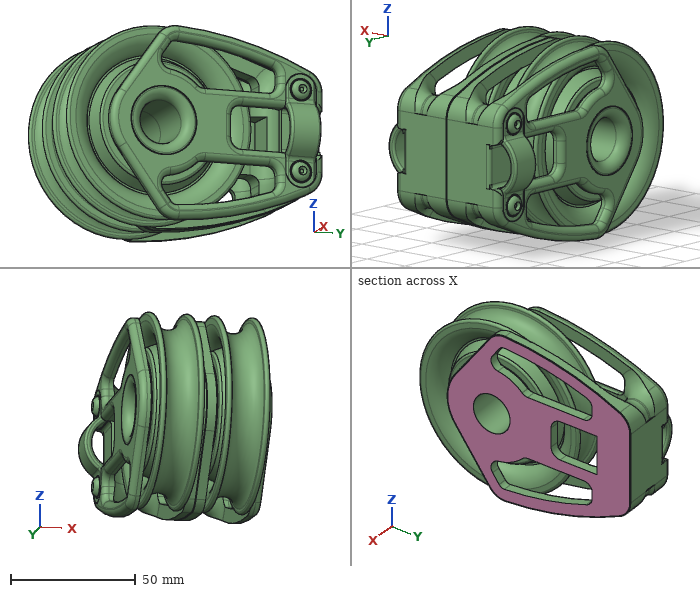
import cadquery as cq
import math


frame_half_width = 27.35
cheek_thickness = 4.45
centre_plate_half = 4.1
cavity_half = (frame_half_width - cheek_thickness - centre_plate_half) / 2
sheave_offset = centre_plate_half + cavity_half
cheek_inner_x = frame_half_width - cheek_thickness

frame_end_y = 69.0
frame_half_height = 39.72
hub_radius = 22.0
tip_y = -2.0
tip_radius = 20.3
shoulder_y = 6.2
shoulder_radius = 8.9
flank_radius = 150.0
nose_radius = 9.5
nose_y = frame_end_y - nose_radius
nose_z = 16.5
edge_round = 2.7
parting_groove = 0.3

rim_width = 5.9
window_low_z = 14.8
window_end_y = 49.75
window_corner_radius = 4.0
slot_half_height = 9.1
slot_start_y = 29.6
slot_corner_radius = 4.5
slot_end_y = 52.3
seat_fillet = 1.7
seat_end_round = 1.6

spool_y = 61.8
spool_radius = 6.8
spool_flat_half = 0.4
spool_throat_radius = cavity_half - spool_flat_half
cavity_reach = 110.0

sheave_radius = 39.73
sheave_half_width = 8.9
bead_radius = 1.1
rope_groove_radius = 7.0
rope_groove_depth = 6.85
rope_groove_lip = 0.1
dish_radius = 9.0
dish_centre_r = 37.5
dish_floor_x = 2.0
boss_foot_r = 27.8
boss_radius = 25.4
boss_round = 1.0

spacer_radius = 21.6
bore_radius = 9.0
bore_flare = 4.35
bush_radius = 14.0
bush_gap = 0.15
bush_gap_depth = 0.5

strap_y = 59.1
strap_half_width = 6.4
strap_crown_x = 33.95
strap_outer_radius = 13.4
strap_thickness = 3.1
strap_edge_round = 1.0
strap_root_fillet = 2.5
tab_thickness = 3.0
tab_gap = 0.2
screw_z = 16.8
screw_head_radius = 4.1
screw_head_height = 2.0
screw_bulge_radius = 3.4
screw_bulge_height = 1.3
screw_top_radius = 1.75
screw_sink_radius = 4.6
screw_sink_depth = 0.5
socket_floor_radius = 0.8
socket_depth = 1.2

sides = (-1, 1)


def both_sides(shape):
    """The shape together with its mirror image on the other side of X = 0."""
    return shape.union(shape.mirror("YZ"))


def slab(profile_half, height_y, height_z, y, z):
    """Box centred on X with its middle at (y, z)."""
    return cq.Workplane("XY").box(2 * profile_half, height_y, height_z).translate((0, y, z))


def frame_outline(half_width, inset=0.0):
    """Pear-shaped frame outline, moved inwards by inset and extruded to both sides of X = 0."""
    shoulder_z = frame_half_height - shoulder_radius
    rise = shoulder_z - nose_z
    reach = nose_y - shoulder_y
    span = math.hypot(reach, rise)
    to_shoulder = flank_radius - shoulder_radius
    to_nose = flank_radius - nose_radius
    centre_angle = math.acos((span**2 + to_shoulder**2 - to_nose**2) / (2 * span * to_shoulder))
    flank_start = math.pi - math.atan2(rise, reach) - centre_angle
    flank_y = shoulder_y - to_shoulder * math.cos(flank_start)
    flank_z = shoulder_z - to_shoulder * math.sin(flank_start)
    flank_end = math.atan2(nose_z - flank_z, nose_y - flank_y)
    tip_to_shoulder_y = shoulder_y - tip_y
    tilt = math.acos((tip_radius - shoulder_radius) / math.hypot(tip_to_shoulder_y, shoulder_z))
    side_angle = math.atan2(shoulder_z, tip_to_shoulder_y) + tilt

    def on_circle(y, z, radius, angle):
        return (y + (radius - inset) * math.cos(angle), z + (radius - inset) * math.sin(angle))

    flank_middle = (flank_start + flank_end) / 2
    shoulder_middle = (flank_start + side_angle) / 2
    nose_end = on_circle(nose_y, nose_z, nose_radius, 0)
    nose_mid = on_circle(nose_y, nose_z, nose_radius, flank_end / 2)
    nose_top = on_circle(nose_y, nose_z, nose_radius, flank_end)
    flank_mid = on_circle(flank_y, flank_z, flank_radius, flank_middle)
    shoulder_top = on_circle(shoulder_y, shoulder_z, shoulder_radius, flank_start)
    shoulder_mid = on_circle(shoulder_y, shoulder_z, shoulder_radius, shoulder_middle)
    shoulder_end = on_circle(shoulder_y, shoulder_z, shoulder_radius, side_angle)
    tip_top = on_circle(tip_y, 0, tip_radius, side_angle)
    tip_mid = on_circle(tip_y, 0, tip_radius, math.pi)

    def mirrored(point):
        return (point[0], -point[1])

    return (
        cq.Workplane("YZ", origin=(-half_width, 0, 0))
        .moveTo(*mirrored(nose_end))
        .lineTo(*nose_end)
        .threePointArc(nose_mid, nose_top)
        .threePointArc(flank_mid, shoulder_top)
        .threePointArc(shoulder_mid, shoulder_end)
        .lineTo(*tip_top)
        .threePointArc(tip_mid, mirrored(tip_top))
        .lineTo(*mirrored(shoulder_end))
        .threePointArc(mirrored(shoulder_mid), mirrored(shoulder_top))
        .threePointArc(mirrored(flank_mid), mirrored(nose_top))
        .threePointArc(mirrored(nose_mid), mirrored(nose_end))
        .close()
        .extrude(2 * half_width)
    )


def upper_window():
    """Opening between the rim, the hub and the middle bar, through the whole width."""
    big = 2 * frame_end_y
    window = frame_outline(frame_half_width + 1, rim_width)
    hub = cq.Workplane("YZ").circle(hub_radius).extrude(frame_half_width + 1, both=True)
    window = window.cut(hub)
    window = window.cut(slab(big, 2 * big, big, 0, window_low_z - big / 2))
    window = window.cut(slab(big, big, big, window_end_y + big / 2, 0))
    window = window.edges("|X and >Y").fillet(window_corner_radius)
    tip = cq.selectors.BoxSelector((-1, -hub_radius, window_low_z), (1, 0, hub_radius))
    window = window.edges("|X").edges(tip).fillet(window_corner_radius)
    bar = cq.selectors.BoxSelector((-1, 10, window_low_z - 1), (1, hub_radius, window_low_z + 1))
    return window.edges("|X").edges(bar).fillet(window_corner_radius)


def middle_slot():
    """Slot between the two middle bars, open at the frame end in the cheeks only, and its end rounding."""
    length = slot_end_y - slot_start_y
    through = slab(frame_half_width + 1, length, 2 * slot_half_height, slot_start_y + length / 2, 0)
    through = through.edges("|X and <Y").fillet(slot_corner_radius)
    seat_length = frame_end_y + 1 - slot_end_y
    seat_y = slot_end_y + seat_length / 2
    depth = cheek_thickness + 1
    seat = cq.Workplane("XY").box(depth, seat_length, 2 * slot_half_height)
    seat = seat.edges("|Y and <X").fillet(seat_fillet)
    seat = seat.translate((cheek_inner_x + depth / 2, seat_y, 0))
    corner_x = cheek_inner_x - seat_end_round
    corner_y = frame_end_y - seat_end_round
    corner = slab(cheek_inner_x, seat_end_round, 2 * slot_half_height, corner_y + seat_end_round / 2, 0)
    corner = corner.cut(slab(corner_x, frame_end_y, frame_end_y, corner_y, 0))
    roll = cq.Workplane("XY").center(corner_x, corner_y).circle(seat_end_round)
    roll = roll.extrude(slot_half_height, both=True)
    corner = corner.cut(both_sides(roll))
    return through.union(both_sides(seat)), corner


def sheave_cavity():
    """Space for one sheave, leaving a concave bridge that wraps around the two becket spools."""
    throat_r = spool_radius + spool_throat_radius
    diagonal = spool_throat_radius * math.sqrt(0.5)

    def section(plane):
        return (
            plane.moveTo(-cavity_half, throat_r)
            .threePointArc((-spool_flat_half - diagonal, throat_r - diagonal), (-spool_flat_half, spool_radius))
            .lineTo(spool_flat_half, spool_radius)
            .threePointArc((spool_flat_half + diagonal, throat_r - diagonal), (cavity_half, throat_r))
            .lineTo(cavity_half, cavity_reach)
            .lineTo(-cavity_half, cavity_reach)
            .close()
        )

    plane = cq.Plane(origin=(0, spool_y, nose_z), xDir=(1, 0, 0), normal=(0, 0, 1))
    flipped = cq.Plane(origin=(0, spool_y, -nose_z), xDir=(1, 0, 0), normal=(0, 0, -1))
    straight = section(cq.Workplane(flipped)).extrude(-2 * nose_z)
    upper = section(cq.Workplane(plane)).revolve(180, (0, 0, 0), (1, 0, 0))
    lower = upper.mirror("XY")
    return straight.union(upper).union(lower)


def frame():
    """Cheeks, centre plate and becket bridge in one piece."""
    body = frame_outline(frame_half_width)
    window = upper_window()
    body = body.cut(window).cut(window.mirror("XY"))
    slot, seat_corner = middle_slot()
    body = body.cut(slot)
    body = body.faces("<X or >X").edges().fillet(edge_round)
    body = body.cut(seat_corner)
    cavity = sheave_cavity()
    for side in sides:
        body = body.cut(cavity.translate((side * sheave_offset, 0, 0)))
    groove = frame_outline(parting_groove / 2).cut(frame_outline(parting_groove / 2, parting_groove))
    return body.cut(groove)


def sheave_dish():
    """Ring-shaped recess between the boss and the rim on the +X side of a sheave."""
    dish_top_r = dish_centre_r - math.sqrt(dish_radius**2 - sheave_half_width**2)
    dish_floor_r = dish_centre_r - math.sqrt(dish_radius**2 - dish_floor_x**2)
    dish_mid = math.sqrt(0.5) * dish_radius
    boss_round_mid = boss_round * (1 - math.sqrt(0.5))
    return (
        cq.Workplane("XY")
        .moveTo(sheave_half_width, boss_radius - boss_round)
        .threePointArc(
            (sheave_half_width - boss_round_mid, boss_radius - boss_round_mid),
            (sheave_half_width - boss_round, boss_radius),
        )
        .lineTo(dish_floor_x, boss_foot_r)
        .lineTo(dish_floor_x, dish_floor_r)
        .threePointArc((dish_mid, dish_centre_r - dish_mid), (sheave_half_width, dish_top_r))
        .close()
        .revolve(360, (0, 0, 0), (1, 0, 0))
    )


def sheave():
    """Sheave with a round rope groove between two beads, centred on X = 0."""
    bead_r = sheave_radius - bead_radius
    bead_x = sheave_half_width - bead_radius
    bead_inner_x = bead_x - bead_radius
    groove_edge_x = bead_inner_x - rope_groove_lip
    groove_floor_r = sheave_radius - rope_groove_depth
    groove_rise = rope_groove_radius - math.sqrt(rope_groove_radius**2 - groove_edge_x**2)
    groove_edge_r = groove_floor_r + groove_rise
    wheel = (
        cq.Workplane("XY")
        .moveTo(-sheave_half_width, bore_radius)
        .lineTo(sheave_half_width, bore_radius)
        .lineTo(sheave_half_width, bead_r)
        .threePointArc((bead_x, sheave_radius), (bead_inner_x, bead_r))
        .lineTo(groove_edge_x, groove_edge_r)
        .threePointArc((0, groove_floor_r), (-groove_edge_x, groove_edge_r))
        .lineTo(-bead_inner_x, bead_r)
        .threePointArc((-bead_x, sheave_radius), (-sheave_half_width, bead_r))
        .close()
        .revolve(360, (0, 0, 0), (1, 0, 0))
    )
    dish = sheave_dish()
    return wheel.cut(dish).cut(dish.mirror("YZ"))


def axle_bore():
    """Through bore that flares out at both cheeks, with a fine gap around each bush."""
    flare_start = frame_half_width - bore_flare
    flare_r = bore_radius + bore_flare
    diagonal = bore_flare * math.sqrt(0.5)
    half = (
        cq.Workplane("XY")
        .lineTo(0, bore_radius)
        .lineTo(flare_start, bore_radius)
        .threePointArc((flare_start + diagonal, flare_r - diagonal), (frame_half_width, flare_r))
        .lineTo(frame_half_width, 0)
        .close()
        .revolve(360, (0, 0, 0), (1, 0, 0))
    )
    gap = (
        cq.Workplane("YZ", origin=(frame_half_width - bush_gap_depth, 0, 0))
        .circle(bush_radius + bush_gap)
        .circle(bush_radius)
        .extrude(2 * bush_gap_depth)
    )
    half = half.union(gap)
    return half.union(half.mirror("YZ"))


def strap_recess():
    """Seat sunk into the +X cheek for the strap tabs."""
    return (
        cq.Workplane("YZ", origin=(frame_half_width - tab_thickness, strap_y, 0))
        .slot2D(2 * (screw_z + strap_half_width + tab_gap), 2 * (strap_half_width + tab_gap), 90)
        .extrude(2 * tab_thickness)
    )


def strap():
    """Arched strap on the +X cheek with a round tab at each end."""
    centre_x = strap_crown_x - strap_outer_radius
    tab_floor = frame_half_width - tab_thickness
    length = 2 * strap_half_width
    start_y = strap_y + strap_half_width
    tab_length = 2 * (screw_z + strap_half_width)

    def arch(radius):
        return cq.Workplane("XZ", origin=(centre_x, start_y, 0)).circle(radius).extrude(length)

    plate = cq.Workplane("XY").box(tab_thickness, length, tab_length)
    plate = plate.translate((tab_floor + tab_thickness / 2, strap_y, 0))
    outside = cq.Workplane("XY").box(2 * strap_outer_radius, length, tab_length)
    outside = outside.translate((tab_floor + strap_outer_radius, strap_y, 0))
    band = plate.union(arch(strap_outer_radius).intersect(outside))
    root = math.sqrt(strap_outer_radius**2 - (frame_half_width - centre_x) ** 2)
    for side in sides:
        near_root = cq.selectors.NearestToPointSelector((frame_half_width, strap_y, side * root))
        band = band.edges("|Y").edges(near_root).fillet(strap_root_fillet)
    band = band.cut(arch(strap_outer_radius - strap_thickness))
    rounded = cq.selectors.BoxSelector(
        (frame_half_width - 1, -frame_end_y, -root), (strap_crown_x + 1, 2 * frame_end_y, root)
    )
    band = band.edges("%CIRCLE").edges(rounded).fillet(strap_edge_round)
    tabs = (
        cq.Workplane("YZ", origin=(tab_floor, strap_y, 0))
        .slot2D(tab_length, length, 90)
        .extrude(strap_crown_x)
    )
    sinks = (
        cq.Workplane("YZ", origin=(frame_half_width - screw_sink_depth, strap_y, 0))
        .pushPoints([(0, -screw_z), (0, screw_z)])
        .circle(screw_sink_radius)
        .extrude(strap_root_fillet)
    )
    return band.intersect(tabs).cut(sinks)


def screw():
    """Domed screw head on the +X cheek with a tapered round socket."""
    head = (
        cq.Workplane("XZ")
        .moveTo(0, -screw_sink_depth)
        .lineTo(screw_head_radius, -screw_sink_depth)
        .lineTo(screw_head_radius, 0)
        .threePointArc((screw_bulge_radius, screw_bulge_height), (screw_top_radius, screw_head_height))
        .lineTo(socket_floor_radius, screw_head_height - socket_depth)
        .lineTo(0, screw_head_height - socket_depth)
        .close()
        .revolve(360, (0, 0, 0), (0, 1, 0))
    )
    return head.rotate((0, 0, 0), (0, 1, 0), 90).translate((frame_half_width, strap_y, 0))


result = frame()
result = result.cut(both_sides(strap_recess()))
spacer = cq.Workplane("YZ").circle(spacer_radius).extrude(cheek_inner_x, both=True)
result = result.union(spacer)
for side in sides:
    result = result.union(sheave().translate((side * sheave_offset, 0, 0)))
result = result.cut(axle_bore())
result = result.union(both_sides(strap()))
for side in sides:
    result = result.union(both_sides(screw().translate((0, 0, side * screw_z))))